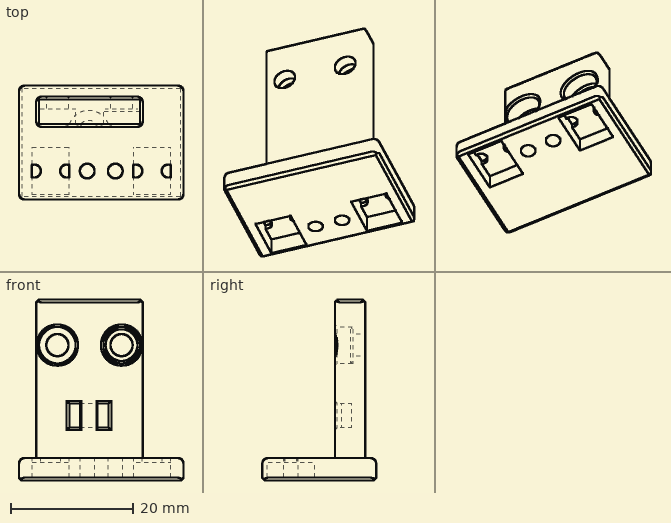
import cadquery as cq
base_length = 27.0
base_width = 18.7
base_height = 3.75
edge_radius = 1.0
edge_bevel = 0.5

total_height = 29.7
upright_length = 17.5
upright_thickness = 5.0
upright_left = 2.82
upright_front = 11.9
upright_center_x = upright_left + upright_length / 2

screw_spacing = 10.5
screw_height = 22.22
screw_hole_diameter = 3.6
head_diameter = 6.0
head_bevel = 0.4
head_floor = 2.02
right_seat_diameter = 5.2

tie_height = 3.95
tie_center_x = 11.45
tie_center_z = 10.7
tie_outer_radius = 3.35
tie_inner_radius = 1.72
tie_axis_offset = 0.62
tie_mouth_bevel = 0.4

selection_margin = 0.03

pin_row_y = 4.7
pin_pair_pitch = 8.32
round_pin_diameter = 2.38
round_pin_spacing = 4.6
clipped_pin_diameter = 2.1
clipped_pin_spacing = 5.32
pocket_length = 6.12
pocket_width = 7.72
pocket_roof = 0.77


def beveled_block(length, width, height, bevel_side):
    """Block with rounded upright edges and mitred bevels around its top or bottom."""
    plain = cq.Workplane("XY").box(length, width, height, centered=False)
    beveled = plain.faces(bevel_side).edges().chamfer(edge_bevel)
    return plain.edges("|Z").fillet(edge_radius).intersect(beveled)


def make_base():
    base = beveled_block(base_length, base_width, base_height, "<Z")
    return base.faces(">Z").edges().fillet(edge_radius)


def make_upright():
    column = beveled_block(upright_length, upright_thickness, total_height - base_height, ">Z")
    return column.translate((upright_left, upright_front, base_height))


def revolved_cut(x, profile):
    """Round cut along Y into the upright, from a profile of (radius, depth) points."""
    cut = cq.Workplane("XY").polyline(profile).close().revolve(360, (0, 0, 0), (0, 1, 0))
    return cut.translate((x, upright_front, screw_height))


def cut_screw_hole(body, x, seat_diameter=None):
    """Through hole and head recess; a narrower seat ends the recess in a taper."""
    head_radius = head_diameter / 2
    head_depth = upright_thickness - head_floor
    recess = [(0, 0), (head_radius, 0)]
    if seat_diameter is None:
        recess.append((head_radius, head_depth))
    else:
        seat_radius = seat_diameter / 2
        recess.append((head_radius, head_depth - head_radius + seat_radius))
        recess.append((seat_radius, head_depth))
    hole_radius = screw_hole_diameter / 2
    hole = [(hole_radius, head_depth), (hole_radius, upright_thickness), (0, upright_thickness)]
    body = body.cut(revolved_cut(x, recess + hole))
    reach = head_radius + selection_margin
    mouth_edges = cq.selectors.BoxSelector(
        (x - reach, upright_front - selection_margin, screw_height - reach),
        (x + reach, upright_front + 2 * head_bevel, screw_height + reach),
        boundingbox=True,
    )
    return body.edges(mouth_edges).chamfer(head_bevel)


def cut_tie_tunnel(body):
    """Ring-shaped tunnel that enters and leaves through bevelled mouths in the upright's front."""
    tie_bottom = tie_center_z - tie_height / 2
    ring = (
        cq.Workplane("XY", origin=(tie_center_x, upright_front - tie_axis_offset, tie_bottom))
        .circle(tie_outer_radius)
        .circle(tie_inner_radius)
        .extrude(tie_height)
    )
    behind_front = (
        cq.Workplane("XY", origin=(tie_center_x, upright_front, tie_bottom))
        .box(2 * tie_outer_radius, upright_thickness, tie_height, centered=(True, False, False))
    )
    body = body.cut(ring.intersect(behind_front))
    mouth_edges = cq.selectors.BoxSelector(
        (tie_center_x - tie_outer_radius, upright_front - selection_margin, tie_bottom - selection_margin),
        (
            tie_center_x + tie_outer_radius,
            upright_front + selection_margin,
            tie_bottom + tie_height + selection_margin,
        ),
    )
    return body.edges(mouth_edges).chamfer(tie_mouth_bevel)


def pin_pair(x, spacing, diameter):
    """Two upright cylinders, side by side along X, through the base."""
    row = cq.Workplane("XY", origin=(x, pin_row_y, 0))
    return row.pushPoints([(-spacing / 2, 0), (spacing / 2, 0)]).circle(diameter / 2).extrude(base_height)


def cut_pins(body):
    """Round middle pair, and outer pairs clipped by the pocket that opens below them."""
    center_x = base_length / 2
    body = body.cut(pin_pair(center_x, round_pin_spacing, round_pin_diameter))
    for x in (center_x - pin_pair_pitch, center_x + pin_pair_pitch):
        outline = cq.Sketch().rect(pocket_length, pocket_width)
        bottom = cq.Workplane("XY", origin=(x, pin_row_y, 0)).placeSketch(outline)
        pins = pin_pair(x, clipped_pin_spacing, clipped_pin_diameter)
        clipped_pins = pins.intersect(bottom.extrude(base_height))
        pocket = bottom.extrude(base_height - pocket_roof)
        body = body.cut(clipped_pins).cut(pocket)
    return body


result = make_base().union(make_upright())
result = cut_tie_tunnel(result)
result = cut_screw_hole(result, upright_center_x - screw_spacing / 2)
result = cut_screw_hole(result, upright_center_x + screw_spacing / 2, right_seat_diameter)
result = cut_pins(result)